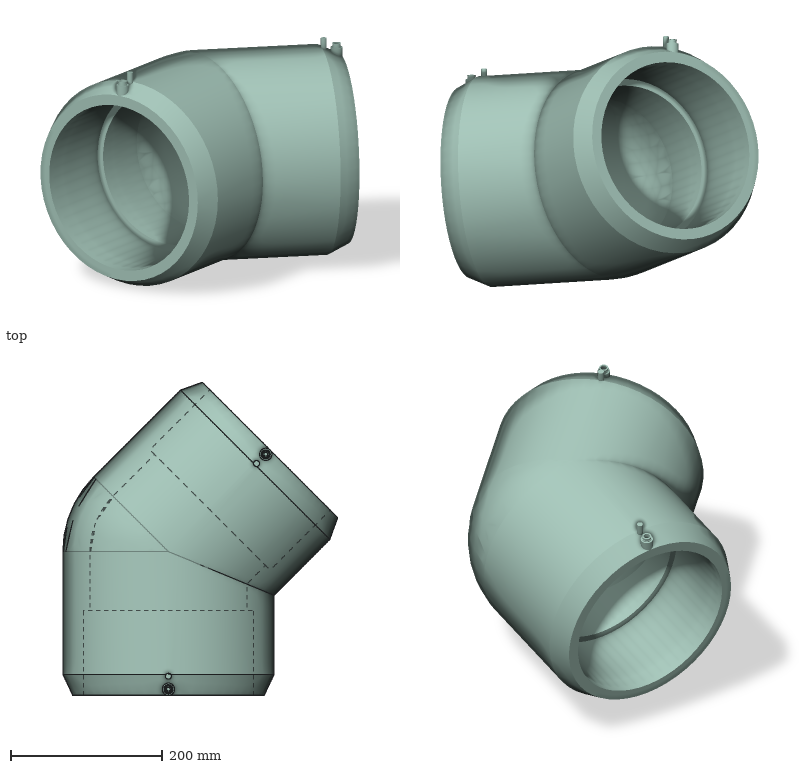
import cadquery as cq

BEND_ANGLE = 45
LEG_LENGTH = 189.8
BODY_DIAMETER = 279.0
END_FACE_DIAMETER = 253.0
END_TAPER_LENGTH = 27.5

BORE_DIAMETER = 207.0
SOCKET_DIAMETER = 225.0
SOCKET_DEPTH = 112.0

PIN_DIAMETER = 8.0
PIN_END_OFFSET = 25.2
PIN_HEIGHT = 13.2

TERMINAL_DIAMETER = 16.0
COLLAR_DIAMETER = 12.0
NECK_DIAMETER = 10.7
LOWER_COLLAR_HEIGHT = 1.2
UPPER_COLLAR_THICKNESS = 0.2
TERMINAL_HEIGHT = 5.5
TERMINAL_HOLE_DIAMETER = 8.3
TERMINAL_HOLE_DEPTH = 10.7
CONTACT_DIAMETER = 5.0
CONTACT_RECESS = 5.5

body_radius = BODY_DIAMETER / 2
wall_middle_radius = (body_radius + SOCKET_DIAMETER / 2) / 2
terminal_end_offset = TERMINAL_DIAMETER / 2


def turn_to_second_leg(leg_feature):
    """Carry a feature of the -Y leg round to the other leg."""
    return leg_feature.rotate((0, 0, 0), (0, 0, 1), 180 - BEND_ANGLE)


def both_legs(leg_feature):
    return leg_feature.union(turn_to_second_leg(leg_feature))


def leg_cylinder(diameter, start, end):
    """Cylinder on the -Y leg axis, between two distances from the bend."""
    plane = cq.Workplane("XZ").workplane(offset=start)
    return plane.circle(diameter / 2).extrude(end - start)


def upright_cylinder(diameter, end_offset, bottom, top):
    """Vertical cylinder set back from the end face of the -Y leg."""
    plane = cq.Workplane("XY", origin=(0, end_offset - LEG_LENGTH, bottom))
    return plane.circle(diameter / 2).extrude(top - bottom)


def outer_leg():
    """Straight leg with a taper running down to its end face."""
    return (
        cq.Workplane("XY")
        .moveTo(0, 0)
        .lineTo(body_radius, 0)
        .lineTo(body_radius, END_TAPER_LENGTH - LEG_LENGTH)
        .lineTo(END_FACE_DIAMETER / 2, -LEG_LENGTH)
        .lineTo(0, -LEG_LENGTH)
        .close()
        .revolve(360, (0, 0, 0), (0, 1, 0))
    )


def inner_leg():
    """Bore with a wider pipe socket at its open end."""
    bore = leg_cylinder(BORE_DIAMETER, 0, LEG_LENGTH)
    socket = leg_cylinder(SOCKET_DIAMETER, LEG_LENGTH - SOCKET_DEPTH, LEG_LENGTH)
    return bore.union(socket)


def indicator_pin():
    return upright_cylinder(PIN_DIAMETER, PIN_END_OFFSET, wall_middle_radius, body_radius + PIN_HEIGHT)


def terminal():
    """Round post with two collars, a groove between them and a recessed contact pin."""
    top = body_radius + TERMINAL_HEIGHT
    lower_collar_top = body_radius + LOWER_COLLAR_HEIGHT
    upper_collar_bottom = top - UPPER_COLLAR_THICKNESS
    sections = [
        (TERMINAL_DIAMETER, wall_middle_radius, body_radius),
        (COLLAR_DIAMETER, body_radius, lower_collar_top),
        (NECK_DIAMETER, lower_collar_top, upper_collar_bottom),
        (COLLAR_DIAMETER, upper_collar_bottom, top),
    ]
    post = cq.Workplane("XY")
    for diameter, bottom, section_top in sections:
        post = post.union(upright_cylinder(diameter, terminal_end_offset, bottom, section_top))
    hole_bottom = top - TERMINAL_HOLE_DEPTH
    contact_top = top - CONTACT_RECESS
    hole = upright_cylinder(TERMINAL_HOLE_DIAMETER, terminal_end_offset, hole_bottom, top)
    contact = upright_cylinder(CONTACT_DIAMETER, terminal_end_offset, hole_bottom, contact_top)
    return post.cut(hole.cut(contact))


outside = both_legs(outer_leg()).union(cq.Workplane("XY").sphere(body_radius))
passage = both_legs(inner_leg()).union(cq.Workplane("XY").sphere(BORE_DIAMETER / 2))
elbow = outside.cut(passage)

result = elbow.union(both_legs(indicator_pin())).union(both_legs(terminal()))